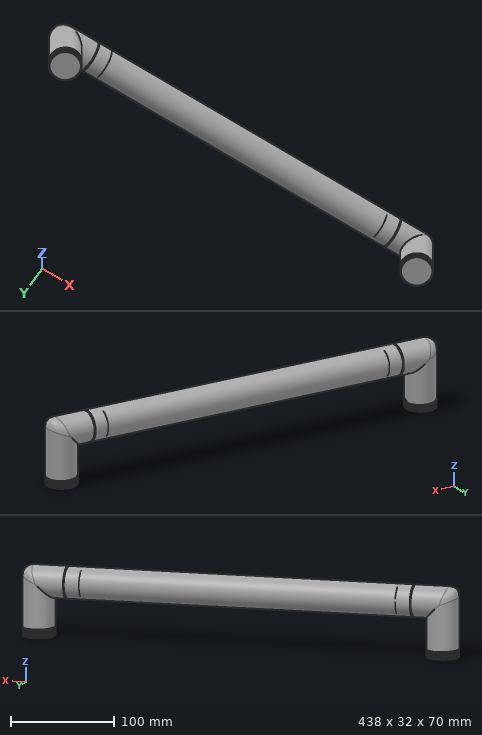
import cadquery as cq
import math

length = 438.0
height = 70.0
diameter = 32.0
corner_radius = 10.0

seam_from_end = 44.3
seam_gap = 1.0
spigot_diameter = 30.0
spigot_insertion = 15.0

foot_chamfer = 1.0
thread_pitch = 1.95
thread_turns = 5
thread_width = 1.5
thread_depth = 0.65
thread_start_angle = 180

radius = diameter / 2
inner_radius = radius - corner_radius
axis_z = height - radius
leg_x = length / 2 - radius
elbow_end_x = length / 2 - seam_from_end
bar_end_x = elbow_end_x - seam_gap
arm_length = leg_x - elbow_end_x

leg_tip = cq.Vector(radius, 0, inner_radius)
arm_tip = cq.Vector(inner_radius, 0, radius)

guide_angles = (-40, 0, 40)
guide_shares = (0.25, 0.5, 0.75)


def x_cylinder(start_x, end_x, cylinder_diameter, center_z=0.0):
    base = cq.Workplane("YZ", origin=(start_x, 0, center_z))
    return base.circle(cylinder_diameter / 2).extrude(end_x - start_x)


def blend_point(angle, share):
    """Point on a ball of corner_radius that touches both leg and arm cylinders from inside."""
    side = math.sin(angle)
    outward = math.cos(angle)
    spread = math.acos(side * side)
    arm_weight = math.sin((1 - share) * spread) / math.sin(spread)
    leg_weight = math.sin(share * spread) / math.sin(spread)
    return cq.Vector(
        (inner_radius + corner_radius * leg_weight) * outward,
        (inner_radius + corner_radius * (arm_weight + leg_weight)) * side,
        (inner_radius + corner_radius * arm_weight) * outward,
    )


def half_ellipse(tip):
    """Half ellipse through the tip, ending on the Y axis at both sides of the cylinders."""
    normal = tip.cross(cq.Vector(0, 1, 0)).normalized()
    return cq.Edge.makeEllipse(tip.Length, radius, cq.Vector(0, 0, 0), normal, tip, -90, 90)


def make_corner_cap():
    """Rounded outer corner of the miter, between the cut ends of leg and arm."""
    leg_edge = half_ellipse(leg_tip)
    arm_edge = half_ellipse(arm_tip)
    hinge = cq.Edge.makeLine(cq.Vector(0, -radius, 0), cq.Vector(0, radius, 0))
    guides = [blend_point(math.radians(angle), share) for angle in guide_angles for share in guide_shares]
    faces = [
        cq.Face.makeNSidedSurface([leg_edge, arm_edge], guides),
        cq.Face.makeFromWires(cq.Wire.assembleEdges([leg_edge, hinge])),
        cq.Face.makeFromWires(cq.Wire.assembleEdges([arm_edge, hinge])),
    ]
    cap = cq.Solid.makeSolid(cq.Shell.makeShell(faces))
    return cq.Workplane("XY").newObject([cap])


def miter_cutter(tip, far_corner):
    """Prism that trims a cylinder along the miter and, outside the axis, along the blend edge."""
    reach = 2
    outline = [
        (0, 0),
        (reach * tip.x, reach * tip.z),
        (diameter, diameter),
        far_corner,
        (-diameter, -diameter),
    ]
    return cq.Workplane("XZ").polyline(outline).close().extrude(diameter, both=True)


def make_leg():
    leg = cq.Workplane("XY", origin=(0, 0, -axis_z)).circle(radius).extrude(height)
    leg = leg.cut(miter_cutter(leg_tip, (-diameter, diameter)))
    return leg.faces("<Z").chamfer(foot_chamfer)


def make_arm():
    arm = x_cylinder(-arm_length, radius, diameter)
    return arm.cut(miter_cutter(arm_tip, (diameter, -diameter)))


def make_spigot():
    return x_cylinder(-arm_length - seam_gap - spigot_insertion, -arm_length, spigot_diameter)


def make_thread_groove():
    """Helical V groove that starts below the foot and runs up round the leg."""
    start_z = -axis_z - thread_pitch / 2
    helix = cq.Wire.makeHelix(
        thread_pitch, thread_pitch * thread_turns, radius, cq.Vector(0, 0, start_z)
    )
    overshoot = thread_depth / 3
    half_width = thread_width / 2 * (1 + overshoot / thread_depth)
    groove = (
        cq.Workplane("XZ", origin=(radius, 0, start_z))
        .polyline([(overshoot, -half_width), (-thread_depth, 0), (overshoot, half_width)])
        .close()
        .sweep(cq.Workplane("XY").newObject([helix]), isFrenet=True)
    )
    return groove.rotate((0, 0, 0), (0, 0, 1), thread_start_angle)


def make_elbow(turn):
    """Elbow at the +X end, turned about the middle of the handle by the given angle."""
    elbow = make_leg().union(make_arm()).union(make_corner_cap()).union(make_spigot())
    elbow = elbow.cut(make_thread_groove())
    return elbow.translate((leg_x, 0, axis_z)).rotate((0, 0, 0), (0, 0, 1), turn)


def make_bar():
    """Straight bar with a recess in each end for the elbow's spigot."""
    bar = x_cylinder(-bar_end_x, bar_end_x, diameter, axis_z)
    recess_floor_x = bar_end_x - spigot_insertion
    for side in (-1, 1):
        recess = x_cylinder(side * recess_floor_x, side * bar_end_x, spigot_diameter, axis_z)
        bar = bar.cut(recess)
    return bar


bar = make_bar()
elbows = [make_elbow(turn) for turn in (0, 180)]

result = cq.Compound.makeCompound([bar.val(), *[elbow.solids().val() for elbow in elbows]])